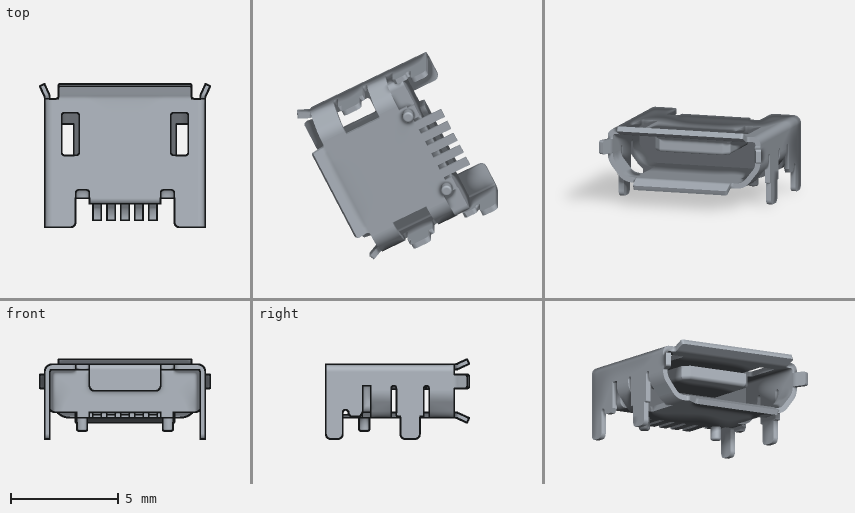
import cadquery as cq
import math


sheet = 0.25
half_width = 3.75
shell_length = 6.0
shell_top = 2.5
top_bend = 0.35
wall_bottom = 1.28
curl_upper_radius = 0.85
curl_lower_radius = 0.8
floor_half_flat = 2.58
floor_half_width = 2.4
leg_bottom = -1.0

rear_leg_end = 0.8
rear_arch_radius = 0.13
rear_arch_top = 0.37
rear_skirt_end = 1.73
rear_skirt_bottom = 0.06
rear_skirt_chamfer = (0.14, 0.2)
rear_curl = (2.1, 3.06)
middle_tab = (3.3, 4.58)
front_curl = (4.82, shell_length)
middle_tab_bottom = 0.06
middle_tab_round = 0.06
middle_leg = (3.48, 4.4)
leg_round = 0.25
relief_top = 1.49

overall_front = 6.7
flare_angle = math.radians(25)
flare_rise = 0.24
side_flare_rise = 0.235
flare_bend_radius = 0.3
top_flare_half_width = 3.11
bottom_flare_half_width = 2.31
side_flare_z = (1.365, 2.02)
flare_tip_round = 0.1
flare_root_round = 0.13
side_flare_root_round = 0.05

slot_x = (2.14, 2.95)
slot_y = (3.365, 5.35)
slot_round = 0.12
notch_half_width = 2.3
notch_end = 1.75
notch_round = 0.15
mouth_round = 0.25
flap_half_width = 1.66
flap_rear = 1.1
flap_bottom = 1.25
flap_round = 0.25

body_rear = flap_rear + sheet
body_front = rear_curl[0]
body_half_width = 3.55
body_round = 0.3
foot_x = (1.66, 2.26)
base_half_width = 2.33
base_rear = 1.7
tongue_half_width = 1.85
tongue_z = (1.33, 1.95)
tongue_front = 5.0
tongue_chamfer = 0.3
tongue_round = 0.16
peg_x = 2.0
peg_y = 1.8
peg_diameter = 0.5
peg_bottom = -0.62
peg_round = 0.1

contact_count = 5
contact_pitch = 0.65
contact_width = 0.4
contact_thickness = 0.15
contact_rear = 0.33
contact_ramp_start = 1.6


def box(x, y, z):
    """Box spanning the (low, high) pairs x, y and z."""
    size = (x[1] - x[0], y[1] - y[0], z[1] - z[0])
    return cq.Workplane().box(*size, centered=False).translate((x[0], y[0], z[0]))


def centred_box(half_x, y, z):
    return box((-half_x, half_x), y, z)


def both_sides(shape):
    return shape.union(shape.mirror("YZ"))


def along_y(profile, y):
    """Extrude an (x, z) profile builder over the (low, high) pair y."""
    return profile(cq.Workplane("XZ", origin=(0, y[1], 0))).extrude(y[1] - y[0])



def tube_profile(plane):
    """Closed shell outline: square-shouldered on top, curled in below."""
    upper_x = half_width - curl_upper_radius
    span_x = upper_x - floor_half_flat
    span_z = wall_bottom - curl_lower_radius
    radius_step = curl_lower_radius - curl_upper_radius
    slope = math.atan2(span_z, span_x) + math.asin(radius_step / math.hypot(span_x, span_z))

    def lower(angle):
        x = floor_half_flat + curl_lower_radius * math.sin(angle)
        return x, curl_lower_radius * (1 - math.cos(angle))

    def upper(angle):
        x = upper_x + curl_upper_radius * math.sin(angle)
        return x, wall_bottom - curl_upper_radius * math.cos(angle)

    def flipped(point):
        return -point[0], point[1]

    middle = (slope + math.pi / 2) / 2
    shoulder_z = shell_top - top_bend
    shoulder_x = half_width - top_bend
    diagonal = top_bend * math.sin(math.pi / 4)
    bend_middle = (shoulder_x + diagonal, shoulder_z + diagonal)
    return (
        plane.moveTo(-floor_half_flat, 0)
        .lineTo(floor_half_flat, 0)
        .threePointArc(lower(slope / 2), lower(slope))
        .lineTo(*upper(slope))
        .threePointArc(upper(middle), (half_width, wall_bottom))
        .lineTo(half_width, shoulder_z)
        .threePointArc(bend_middle, (shoulder_x, shell_top))
        .lineTo(-shoulder_x, shell_top)
        .threePointArc(flipped(bend_middle), (-half_width, shoulder_z))
        .lineTo(-half_width, wall_bottom)
        .threePointArc(flipped(upper(middle)), flipped(upper(slope)))
        .lineTo(*flipped(lower(slope)))
        .threePointArc(flipped(lower(slope / 2)), (-floor_half_flat, 0))
        .close()
    )


def make_tube(y):
    outer = along_y(tube_profile, y)
    inner = along_y(lambda plane: tube_profile(plane).offset2D(-sheet), y)
    return outer.cut(inner)


def make_channel():
    """Roof with straight side walls down to the leg tips."""
    outer = centred_box(half_width, (0, shell_length), (leg_bottom, shell_top))
    outer = outer.edges("|Y and >Z").fillet(top_bend)
    inner = centred_box(half_width - sheet, (0, shell_length), (leg_bottom, shell_top - sheet))
    inner = inner.edges("|Y and >Z").fillet(top_bend - sheet)
    return outer.cut(inner)


def make_leg(y):
    leg = centred_box(half_width, y, (leg_bottom, wall_bottom))
    return leg.edges("|X and <Z").fillet(leg_round)


def make_wall_outline():
    """Side silhouette of the straight walls: upper band, legs and skirts."""
    outline = centred_box(half_width, (0, shell_length), (wall_bottom, shell_top))
    outline = outline.union(make_leg((0, rear_leg_end)))
    outline = outline.union(make_leg(middle_leg))
    tab = centred_box(half_width, middle_tab, (middle_tab_bottom, wall_bottom))
    outline = outline.union(tab.edges("|X and <Z").fillet(middle_tab_round))

    chamfer_y, chamfer_z = rear_skirt_chamfer
    arch_y = rear_leg_end + rear_arch_radius
    arch_end = arch_y + rear_arch_radius
    arch_z = rear_arch_top - rear_arch_radius
    corner_radius = arch_z - rear_skirt_bottom
    corner_inset = corner_radius * (1 - math.sin(math.pi / 4))
    skirt = (
        cq.Workplane("YZ")
        .moveTo(rear_leg_end, wall_bottom)
        .lineTo(rear_leg_end, arch_z)
        .threePointArc((arch_y, rear_arch_top), (arch_end, arch_z))
        .threePointArc(
            (arch_end + corner_inset, rear_skirt_bottom + corner_inset),
            (arch_end + corner_radius, rear_skirt_bottom),
        )
        .lineTo(rear_skirt_end - chamfer_y, rear_skirt_bottom)
        .lineTo(rear_skirt_end, rear_skirt_bottom + chamfer_z)
        .lineTo(rear_skirt_end, wall_bottom)
        .close()
        .extrude(half_width, both=True)
    )
    return outline.union(skirt)


def make_slit(start, end):
    """Round-topped cut through both side walls."""
    radius = (end - start) / 2
    round_z = relief_top - radius
    slit = centred_box(half_width, (start, end), (sheet, round_z))
    round_top = cq.Workplane("YZ").center(start + radius, round_z).circle(radius)
    return slit.union(round_top.extrude(half_width, both=True))


def make_wall_reliefs():
    """Cuts beside the curls: a square window and two slits."""
    window = centred_box(half_width, (rear_skirt_end, rear_curl[0]), (sheet, relief_top))
    rear_slit = make_slit(rear_curl[1], middle_tab[0])
    front_slit = make_slit(middle_tab[1], front_curl[0])
    return window.union(rear_slit).union(front_slit)


def make_roof_openings():
    slots = both_sides(box(slot_x, slot_y, (wall_bottom, shell_top)).edges("|Z").fillet(slot_round))
    notch_z = (flap_bottom, shell_top)
    notches = box((flap_half_width, notch_half_width), (0, notch_end), notch_z)
    notches = both_sides(notches.edges("|Z and >Y").fillet(notch_round))
    middle = centred_box(flap_half_width, (0, flap_rear + sheet), notch_z)
    r = mouth_round
    mouth = box((notch_half_width, notch_half_width + r), (0, r), notch_z)
    rounding = cq.Workplane(origin=(notch_half_width + r, r, notch_z[0])).circle(r)
    mouth = both_sides(mouth.cut(rounding.extrude(notch_z[1] - notch_z[0])))
    return slots.union(notches).union(middle).union(mouth)


def make_rear_flap():
    """Strip of the roof folded down over the back of the body."""
    flap = centred_box(flap_half_width, (flap_rear, flap_rear + sheet), (flap_bottom, shell_top))
    flap = flap.edges("|Y and <Z").fillet(flap_round)
    bend = centred_box(flap_half_width, (flap_rear, notch_end), (shell_top - sheet, shell_top))
    return flap.union(bend).edges("|X and >Z and <Y").fillet(sheet)


def make_root_fillets(half_x, radius):
    """Concave corners where a lip leaves the front edge of a sheet whose outer face is Z = 0."""
    corner = box((half_x, half_x + radius), (shell_length, shell_length + radius), (-sheet, 0))
    rounding = cq.Workplane(origin=(half_x + radius, shell_length + radius, -sheet)).circle(radius)
    return both_sides(corner.cut(rounding.extrude(sheet)))


def make_lip(width, rise, root_round):
    """Lip of the given width along X, flaring up by rise from a sheet whose outer face is Z = 0."""
    tip_outer_y = overall_front - sheet * math.sin(flare_angle)
    bend_y = tip_outer_y - rise / math.tan(flare_angle)
    root_y = shell_length - sheet
    bend_start = bend_y - flare_bend_radius * math.tan(flare_angle / 2)

    def on_bend(radius, angle):
        return bend_start + radius * math.sin(angle), flare_bend_radius - radius * math.cos(angle)

    under_radius = flare_bend_radius + sheet
    lip = (
        cq.Workplane("YZ")
        .moveTo(root_y, 0)
        .lineTo(bend_start, 0)
        .threePointArc(on_bend(flare_bend_radius, flare_angle / 2), on_bend(flare_bend_radius, flare_angle))
        .lineTo(tip_outer_y, rise)
        .lineTo(overall_front, rise - sheet * math.cos(flare_angle))
        .lineTo(*on_bend(under_radius, flare_angle))
        .threePointArc(on_bend(under_radius, flare_angle / 2), (bend_start, -sheet))
        .lineTo(root_y, -sheet)
        .close()
        .extrude(width / 2, both=True)
    )
    lip = lip.faces(">Y").edges("not |X").fillet(flare_tip_round)
    return lip.union(make_root_fillets(width / 2, root_round))


def make_flares():
    """Four outward lips around the mouth."""
    top = make_lip(2 * top_flare_half_width, flare_rise, flare_root_round)
    top = top.translate((0, 0, shell_top))
    bottom = make_lip(2 * bottom_flare_half_width, flare_rise, flare_root_round).mirror("XY")

    low, high = side_flare_z
    side = make_lip(high - low, side_flare_rise, side_flare_root_round)
    side = side.rotate((0, 0, 0), (0, 1, 0), 90)
    side = both_sides(side.translate((half_width, 0, (low + high) / 2)))
    return top.union(bottom).union(side)


def make_shell():
    shell = make_channel().intersect(make_wall_outline())
    shell = shell.cut(make_wall_reliefs()).cut(make_roof_openings())
    for span in (rear_curl, front_curl):
        below = centred_box(half_width, span, (0, wall_bottom))
        shell = shell.union(make_tube(span).intersect(below))
    floor = centred_box(floor_half_width, (rear_curl[0], shell_length), (0, sheet))
    return shell.union(floor).union(make_rear_flap()).union(make_flares())



def make_body():
    body = centred_box(body_half_width, (body_rear, body_front), (sheet, relief_top))
    body = body.edges("|Y and <Z").fillet(body_round)
    top = centred_box(half_width - sheet, (body_rear, body_front), (relief_top, shell_top - sheet))
    body = body.union(top)
    feet = both_sides(box(foot_x, (body_rear, body_front), (0, sheet)))
    base = centred_box(base_half_width, (base_rear, body_front), (0, sheet))
    tongue = centred_box(tongue_half_width, (body_front, tongue_front), tongue_z)
    tongue = tongue.edges("|Z and >Y").chamfer(tongue_chamfer)
    tongue = tongue.faces("<Z").edges("not <Y").fillet(tongue_round)
    return body.union(feet).union(base).union(tongue)


def make_pegs():
    peg = cq.Workplane(origin=(peg_x, peg_y, peg_bottom)).circle(peg_diameter / 2)
    peg = peg.extrude(sheet - peg_bottom).faces("<Z").edges().fillet(peg_round)
    return both_sides(peg)


def make_contacts():
    """Flat solder tails that ramp up where they enter the body."""
    section = [
        (contact_rear, 0),
        (body_front, 0),
        (body_front, sheet),
        (base_rear, sheet),
        (contact_ramp_start, contact_thickness),
        (contact_rear, contact_thickness),
    ]
    tail = cq.Workplane("YZ").polyline(section).close().extrude(contact_width / 2, both=True)
    first_x = -contact_pitch * (contact_count - 1) / 2
    centres = [(first_x + index * contact_pitch, 0, 0) for index in range(contact_count)]
    return [tail.translate(centre) for centre in centres]


result = make_shell().union(make_body()).union(make_pegs())
for contact in make_contacts():
    result = result.union(contact)